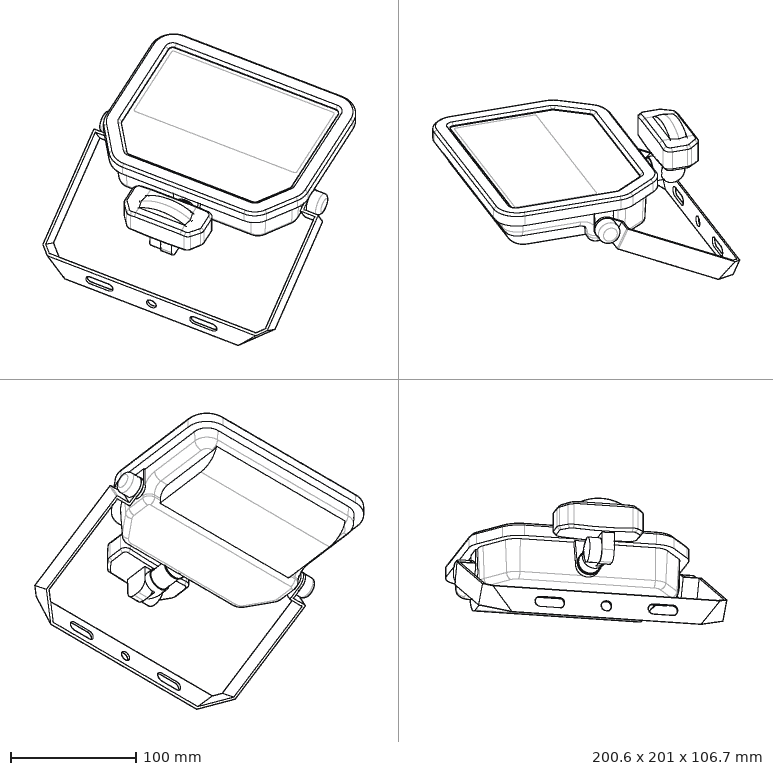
import cadquery as cq
import math

LARGE = 401.9
MARGIN = 0.2

LID_TOP = 27.1
LID_BOTTOM = 16.3
LID_HALF_WIDTH = 90.0
LID_REAR = 89.0
LID_FRONT = -54.9
LID_SHOULDER_Y = -18.3
LID_FRONT_HALF = 64.5
LID_CORNER_R = 19.7
LID_CHAMFER = 2.2

RIM_WIDTH = 11.5
BEVEL_RUN = 2.8
BEVEL_DEPTH = 2.0
GLASS_DEPTH = 2.8
OPENING_CORNER_R = 6.6
WINDOW_HALF_WIDTH = 72.5
WINDOW_REAR = 71.5
WINDOW_FRONT = 1.8
WINDOW_CORNER_R = 1.6

HOUSING_HALF_WIDTH = 82.5
HOUSING_REAR = 81.8
HOUSING_FRONT = -45.6
HOUSING_SHOULDER_Y = -16.5
HOUSING_FRONT_HALF = 62.5
HOUSING_CORNER_R = 13.3
HOUSING_DRAFT = 3.0
HOUSING_BOTTOM = -15.5
HOUSING_EDGE_R = 5.0
REAR_EDGE_R = 6.6
STEP_Y = 10.9
STEP_Z = 0.5
STEP_R = 8.6
BULGE_HALF_WIDTH = 68.3
BULGE_REAR = 79.5
BULGE_BOTTOM = -12.9
BULGE_R = 19.7

SIDE_PAD_R = 7.6
SIDE_PAD_TOP_HALF = 8.2
SIDE_PAD_FACE_X = 83.8
FRONT_PAD_R = 10.0
FRONT_PAD_TOP_HALF = 11.7
FRONT_PAD_FACE_Y = -50.5
PAD_ROOT = 12.0

KNOB_D = 18.0
KNOB_OUTER_X = 98.7
KNOB_EDGE_R = 3.2
SCREW_D = 5.0
SCREW_HOLE_D = 5.2
SCREW_TIP_X = 77.8

BRACKET_TILT = 26.5
SHEET = 2.2
STRIP_WIDTH = 18.5
BRACKET_HALF_WIDTH = 100.3
BRACKET_FRONT = -112.0
LUG_INNER_X = 85.0
JOG_START = 10.6
BEND_R = 0.8
CORNER_NORMAL = (0.69, -0.5, -0.52)
CORNER_POINT = (93.5, BRACKET_FRONT, -45.0)
MOUNT_HOLE_D = 8.5
SLOT_LENGTH = 24.1
SLOT_X = 46.5

ARM_Z = -1.5
NECK_D = 18.0
FLANGE_D = 19.0
FLANGE_THICKNESS = 1.2
COLLAR_D = 20.0
COLLAR_REAR = -68.5
HINGE_Y = -85.2
HINGE_HALF = 9.8
DOME_HEIGHT = 2.5
STEM_WIDTH = 10.0
STEM_HALF = 10.5
STEM_EDGE_R = 8.0

HEAD_HALF_WIDTH = 35.4
HEAD_REAR = -69.7
HEAD_FRONT = -101.3
HEAD_SHOULDER_Y = -90.5
HEAD_FRONT_HALF = 27.0
HEAD_CORNER_R = 5.8
HEAD_TOP = 33.8
HEAD_TOP_FLAT_HALF = 20.5
HEAD_TOP_DROP = 1.2
HEAD_BOTTOM = 10.6
HEAD_BOTTOM_RISE = 1.8
HEAD_CHAMFER = 2.5
LENS_REAR = -78.8
LENS_FRONT = -93.0
LENS_TOP = 40.5
LENS_CROWN_R = 38.2
LENS_EDGE_R = 37.4
LENS_SEAT_Z = 32.5


def shield(half_width, rear, shoulder_y, front, front_half):
    """Closed outline, square at the rear and with two sloping corners at the front."""
    right = [(front_half, front), (half_width, shoulder_y), (half_width, rear)]
    left = [(-x, y) for x, y in reversed(right)]
    return cq.Workplane("XY").polyline(right + left).close()


def lid_block(inset, z_bottom, z_top, corner_r):
    """Lid outline moved inwards by `inset`, extruded from z_bottom to z_top."""
    slope = math.atan2(LID_SHOULDER_Y - LID_FRONT, LID_HALF_WIDTH - LID_FRONT_HALF)
    shoulder_y = LID_SHOULDER_Y + inset * math.tan((math.pi / 2 - slope) / 2)
    front_half = LID_FRONT_HALF - inset * math.tan(slope / 2)
    outline = shield(LID_HALF_WIDTH - inset, LID_REAR - inset, shoulder_y, LID_FRONT + inset, front_half)
    sharp = outline.extrude(z_top - z_bottom).translate((0, 0, z_bottom))
    return sharp.edges("|Z").fillet(corner_r)


def make_glass():
    pane = lid_block(RIM_WIDTH + BEVEL_RUN, LID_BOTTOM, LID_TOP - GLASS_DEPTH, OPENING_CORNER_R - BEVEL_RUN)
    window = (
        cq.Workplane("XY", origin=(0, (WINDOW_REAR + WINDOW_FRONT) / 2, LID_BOTTOM))
        .rect(2 * WINDOW_HALF_WIDTH, WINDOW_REAR - WINDOW_FRONT)
        .extrude(LID_TOP - GLASS_DEPTH - LID_BOTTOM)
        .edges("|Z")
        .fillet(WINDOW_CORNER_R)
    )
    return pane.cut(window).union(window, clean=False)


def make_frame():
    frame = lid_block(0, LID_BOTTOM, LID_TOP, LID_CORNER_R).faces(">Z").edges().chamfer(LID_CHAMFER)
    opening = lid_block(RIM_WIDTH + BEVEL_RUN, LID_BOTTOM, LID_TOP, OPENING_CORNER_R - BEVEL_RUN)
    bevel = lid_block(RIM_WIDTH, LID_TOP - BEVEL_DEPTH, LID_TOP + BEVEL_DEPTH, OPENING_CORNER_R)
    bevel = bevel.faces("<Z").edges().chamfer(BEVEL_DEPTH, BEVEL_RUN)
    return frame.cut(opening).cut(bevel)


def pad(plane, axis_z, radius, top_half, length):
    """Pad with a round lower end about (0, axis_z), widening up to the lid."""
    return (
        plane.moveTo(-radius, axis_z)
        .threePointArc((0, axis_z - radius), (radius, axis_z))
        .lineTo(top_half, LID_BOTTOM)
        .lineTo(-top_half, LID_BOTTOM)
        .close()
        .extrude(length)
    )


def make_housing():
    outline = shield(
        HOUSING_HALF_WIDTH, HOUSING_REAR, HOUSING_SHOULDER_Y, HOUSING_FRONT, HOUSING_FRONT_HALF
    )
    depth = LID_BOTTOM - HOUSING_BOTTOM
    body = (
        outline.extrude(depth)
        .edges("|Z")
        .fillet(HOUSING_CORNER_R)
        .faces("<Z")
        .wires()
        .toPending()
        .extrude(-depth, taper=HOUSING_DRAFT, combine=False)
        .translate((0, 0, LID_BOTTOM))
    )
    step = (
        cq.Workplane("XY")
        .box(LARGE, LARGE, LARGE, centered=(True, False, False))
        .translate((0, STEP_Y, STEP_Z - LARGE))
        .edges("<Y and >Z")
        .fillet(STEP_R)
    )
    body = body.cut(step)
    rear_rim = cq.selectors.BoxSelector(
        (-LARGE, STEP_Y - MARGIN, STEP_Z - STEP_R - MARGIN),
        (LARGE, LARGE, STEP_Z + MARGIN),
        boundingbox=True,
    )
    step_seams = cq.selectors.BoxSelector(
        (-MARGIN, STEP_Y - MARGIN, HOUSING_BOTTOM + MARGIN),
        (MARGIN, STEP_Y + STEP_R + MARGIN, STEP_Z + MARGIN),
    )
    body = body.edges(rear_rim - step_seams).fillet(REAR_EDGE_R)
    body = body.faces("<Z").edges().fillet(HOUSING_EDGE_R)

    bulge = (
        cq.Workplane("YZ", origin=(-BULGE_HALF_WIDTH, 0, 0))
        .moveTo(0, BULGE_BOTTOM)
        .lineTo(BULGE_REAR - BULGE_R, BULGE_BOTTOM)
        .radiusArc((BULGE_REAR, BULGE_BOTTOM + BULGE_R), -BULGE_R)
        .lineTo(0, BULGE_BOTTOM + BULGE_R)
        .close()
        .extrude(2 * BULGE_HALF_WIDTH)
    )
    body = body.union(bulge)

    front_plane = cq.Workplane("XZ", origin=(0, FRONT_PAD_FACE_Y + PAD_ROOT, 0))
    body = body.union(pad(front_plane, ARM_Z, FRONT_PAD_R, FRONT_PAD_TOP_HALF, PAD_ROOT))
    for side in (-1, 1):
        root_x = SIDE_PAD_FACE_X - PAD_ROOT
        side_plane = cq.Workplane("YZ", origin=(side * root_x, 0, 0))
        body = body.union(pad(side_plane, 0, SIDE_PAD_R, SIDE_PAD_TOP_HALF, side * PAD_ROOT))
        screw_hole = cq.Workplane("YZ", origin=(side * SCREW_TIP_X, 0, 0)).circle(SCREW_D / 2)
        body = body.cut(screw_hole.extrude(side * (SIDE_PAD_FACE_X - SCREW_TIP_X)))
    return body


def make_knob(side):
    """Knob with its screw shank, on the side given by the sign."""
    seat_x = LUG_INNER_X + SHEET
    head = (
        cq.Workplane("YZ", origin=(side * seat_x, 0, 0))
        .circle(KNOB_D / 2)
        .extrude(side * (KNOB_OUTER_X - seat_x))
        .faces(">X" if side > 0 else "<X")
        .edges()
        .fillet(KNOB_EDGE_R)
    )
    shank = cq.Workplane("YZ", origin=(side * SCREW_TIP_X, 0, 0)).circle(SCREW_D / 2)
    return head.union(shank.extrude(side * (seat_x - SCREW_TIP_X)))


def corner_cut(side, inset):
    """Half-space beyond a sloping bracket corner, moved inwards by `inset`."""
    x, y, z = CORNER_NORMAL
    outward = cq.Vector(side * x, y, z).normalized()
    x, y, z = CORNER_POINT
    origin = cq.Vector(side * x, y, z) - outward * inset
    return cq.Workplane(cq.Plane(origin, normal=outward)).rect(LARGE, LARGE).extrude(LARGE)


def bracket_envelope(inset):
    """Space inside the bracket's arms, corners and front, moved inwards by `inset`."""
    half_width = BRACKET_HALF_WIDTH - inset
    front = BRACKET_FRONT + inset
    block = (
        cq.Workplane("XY")
        .box(2 * half_width, LARGE, LARGE, centered=(True, False, True))
        .translate((0, front, 0))
    )
    for side in (-1, 1):
        block = block.cut(corner_cut(side, inset))
    return block


def tilted(shape):
    return shape.rotate((0, 0, 0), (1, 0, 0), BRACKET_TILT)


def make_bracket():
    strip = tilted(
        cq.Workplane("XY")
        .box(LARGE, LARGE, STRIP_WIDTH, centered=(True, False, True))
        .translate((0, -LARGE - JOG_START, 0))
    )
    bracket = bracket_envelope(0).cut(bracket_envelope(SHEET)).intersect(strip)

    outer_lug_x = LUG_INNER_X + SHEET
    for side in (-1, 1):
        lug = (
            cq.Workplane("YZ", origin=(side * LUG_INNER_X, 0, 0))
            .circle(STRIP_WIDTH / 2)
            .extrude(side * SHEET)
        )
        straight = (
            cq.Workplane("XY")
            .box(SHEET, JOG_START + SHEET, STRIP_WIDTH)
            .translate((side * (LUG_INNER_X + outer_lug_x) / 2, -(JOG_START + SHEET) / 2, 0))
        )
        jog = (
            cq.Workplane("XY")
            .box(BRACKET_HALF_WIDTH - LUG_INNER_X, SHEET, STRIP_WIDTH)
            .translate((side * (BRACKET_HALF_WIDTH + LUG_INNER_X) / 2, -JOG_START - SHEET / 2, 0))
        )
        outer_bend = cq.selectors.NearestToPointSelector((side * BRACKET_HALF_WIDTH, -JOG_START, 0))
        jog = jog.edges(outer_bend).fillet(BEND_R)
        trim = (
            cq.Workplane("XY")
            .box(2 * SHEET, SHEET, STRIP_WIDTH)
            .translate((side * BRACKET_HALF_WIDTH, -JOG_START - SHEET / 2, 0))
        )
        hole = cq.Workplane("YZ").circle(SCREW_HOLE_D / 2).extrude(side * LARGE)
        bracket = bracket.cut(tilted(trim)).union(tilted(jog.union(straight).union(lug).cut(hole)))

    middle_z = BRACKET_FRONT * math.tan(math.radians(BRACKET_TILT))
    front = cq.Workplane("XZ", origin=(0, BRACKET_FRONT, middle_z))
    round_hole = front.circle(MOUNT_HOLE_D / 2).extrude(-2 * SHEET)
    slots = front.pushPoints([(-SLOT_X, 0), (SLOT_X, 0)]).slot2D(SLOT_LENGTH, MOUNT_HOLE_D).extrude(-2 * SHEET)
    return bracket.cut(round_hole).cut(slots)


def make_arm():
    """Neck, collar and the left half of the hinge, with its domed end."""

    def along_neck(diameter, y_start, y_end):
        return cq.Workplane("XZ", origin=(0, y_start, ARM_Z)).circle(diameter / 2).extrude(y_start - y_end)

    arm = along_neck(FLANGE_D, FRONT_PAD_FACE_Y, FRONT_PAD_FACE_Y - FLANGE_THICKNESS)
    arm = arm.union(along_neck(NECK_D, FRONT_PAD_FACE_Y, COLLAR_REAR))
    arm = arm.union(along_neck(COLLAR_D, COLLAR_REAR, HINGE_Y))
    stem_clearance = (
        cq.Workplane("XY")
        .box(LARGE, LARGE, LARGE, centered=(False, False, True))
        .translate((0, HINGE_Y + STEM_HALF - LARGE, 0))
    )
    barrel = (
        cq.Workplane("XY", origin=(0, HINGE_Y, ARM_Z))
        .lineTo(0, COLLAR_D / 2)
        .lineTo(-HINGE_HALF, COLLAR_D / 2)
        .radiusArc(
            (-HINGE_HALF - DOME_HEIGHT, 0),
            -((COLLAR_D / 2) ** 2 + DOME_HEIGHT**2) / (2 * DOME_HEIGHT),
        )
        .close()
        .revolve(360, (0, 0, 0), (1, 0, 0))
    )
    return arm.cut(stem_clearance).union(barrel)


def make_lens():
    """Barrel-shaped cap, slightly crowned half-way along Y."""
    axis_z = LENS_TOP - LENS_CROWN_R
    middle_y = (LENS_REAR + LENS_FRONT) / 2
    return (
        cq.Workplane("YZ", origin=(0, 0, axis_z))
        .moveTo(LENS_FRONT, 0)
        .lineTo(LENS_FRONT, LENS_EDGE_R)
        .lineTo(middle_y, LENS_CROWN_R)
        .lineTo(LENS_REAR, LENS_EDGE_R)
        .lineTo(LENS_REAR, 0)
        .close()
        .revolve(360, (0, 0, 0), (1, 0, 0))
        .intersect(
            cq.Workplane("XY")
            .box(LARGE, LARGE, LARGE, centered=(True, True, False))
            .translate((0, 0, LENS_SEAT_Z))
        )
    )


def make_head(lens):
    """Sensor head with the right half of the hinge below it and a recess for the lens."""
    outline = shield(HEAD_HALF_WIDTH, HEAD_REAR, HEAD_SHOULDER_Y, HEAD_FRONT, HEAD_FRONT_HALF)
    prism = outline.extrude(LENS_TOP).edges("|Z").fillet(HEAD_CORNER_R)
    side_top = HEAD_TOP - HEAD_TOP_DROP
    side_bottom = HEAD_BOTTOM + HEAD_BOTTOM_RISE
    profile = (
        cq.Workplane("XZ")
        .moveTo(-HEAD_HALF_WIDTH, side_bottom)
        .threePointArc((0, HEAD_BOTTOM), (HEAD_HALF_WIDTH, side_bottom))
        .lineTo(HEAD_HALF_WIDTH, side_top)
        .lineTo(HEAD_TOP_FLAT_HALF, HEAD_TOP)
        .lineTo(-HEAD_TOP_FLAT_HALF, HEAD_TOP)
        .lineTo(-HEAD_HALF_WIDTH, side_top)
        .close()
        .extrude(LARGE)
    )
    head = prism.intersect(profile)
    ridges = cq.selectors.BoxSelector(
        (-HEAD_TOP_FLAT_HALF - MARGIN, HEAD_FRONT + MARGIN, HEAD_TOP - MARGIN),
        (HEAD_TOP_FLAT_HALF + MARGIN, HEAD_REAR - MARGIN, HEAD_TOP + MARGIN),
    )
    rims = cq.selectors.InverseSelector(ridges)
    head = head.edges("not |Z").edges(rims).chamfer(HEAD_CHAMFER)

    stem_top = (HEAD_TOP + HEAD_BOTTOM) / 2
    stem = (
        cq.Workplane("XY")
        .box(STEM_WIDTH, 2 * STEM_HALF, stem_top - ARM_Z + COLLAR_D / 2, centered=(False, True, False))
        .translate((0, HINGE_Y, ARM_Z - COLLAR_D / 2))
        .edges("|X and <Z")
        .fillet(STEM_EDGE_R)
    )
    return head.union(stem).cut(lens)


housing = make_housing()
glass = make_glass()
frame = make_frame()
knobs = [make_knob(side) for side in (-1, 1)]
bracket = make_bracket()
arm = make_arm()
lens = make_lens()
head = make_head(lens)
bodies = [housing, frame, glass, *knobs, bracket, arm, head, lens]
result = cq.Compound.makeCompound([body.val() for body in bodies])